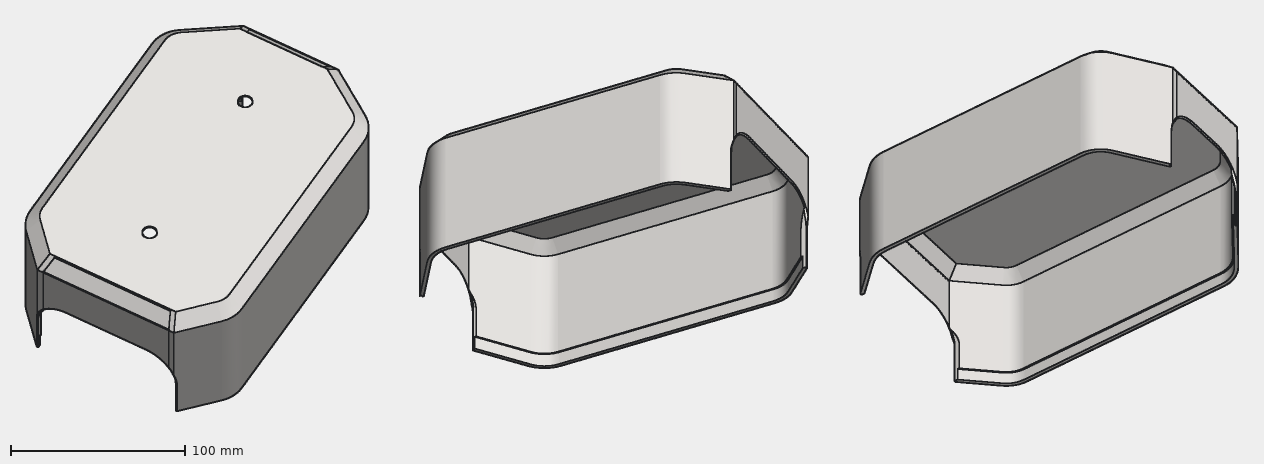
import cadquery as cq
width = 140.5
length = 211.5
height = 83.0

front_half_width = 45.3
back_half_width = 31.5
side_corner_y = 78.9
side_corner_radius = 20.0
top_bevel = 8.2

side_wall = 3.2
end_wall = 0.6
roof = 1.0

seat_depth = 0.8
seat_height = 8.0

arch_height = 45.7
arch_radius = 19.5
front_arch_half_width = 45.5
back_arch_half_width = 30.9
arch_bevel = 1.3
arch_bevel_depth = 1.5
arch_bevel_drop = 2.7
arch_reach = 25.4

hole_diameter = 8.5
hole_spacing = 109.1
hole_middle_y = -0.8


def crossing(first, second):
    """Meeting point of two lines, each given as a point and a direction."""
    (p, u), (q, v) = first, second
    along = (q - p).cross(v).z / u.cross(v).z
    return (p + u * along).toTuple()[:2]


def outline_corners(side_inset, end_inset):
    """Eight corners, counter-clockwise, with every edge moved inwards."""
    right = [
        (front_half_width, -length / 2),
        (width / 2, -side_corner_y),
        (width / 2, side_corner_y),
        (back_half_width, length / 2),
    ]
    left = [(-x, y) for x, y in reversed(right)]
    corners = [cq.Vector(*corner) for corner in right + left]
    edges = []
    for start, end in zip(corners, corners[1:] + corners[:1]):
        direction = (end - start).normalized()
        inward = cq.Vector(-direction.y, direction.x)
        inset = end_inset if start.y == end.y else side_inset
        edges.append((start + inward * inset, direction))
    return [crossing(edges[i - 1], edges[i]) for i in range(len(edges))]


def prism(side_inset, end_inset, prism_height):
    """Upright block with the inset outline, rounded where it meets the long sides."""
    block = cq.Workplane("XY").polyline(outline_corners(side_inset, end_inset)).close().extrude(prism_height)
    for side in ("<X", ">X"):
        block = block.faces(side).edges("|Z").fillet(side_corner_radius - side_inset)
    return block


def arch_profile(half_width, top, radius, y):
    """Closed wire of a round-shouldered arch in the vertical plane at y."""
    return (
        cq.Workplane("XZ", origin=(0, y, 0))
        .moveTo(-half_width, -top)
        .lineTo(-half_width, top - radius)
        .radiusArc((-half_width + radius, top), radius)
        .lineTo(half_width - radius, top)
        .radiusArc((half_width, top - radius), radius)
        .lineTo(half_width, -top)
        .close()
        .val()
    )


def arch_opening(half_width, end):
    """Arch through one end wall; end is -1 for the front and 1 for the back."""
    end_y = end * length / 2
    inner = arch_profile(half_width, arch_height, arch_radius, end_y)
    opening = cq.Solid.extrudeLinear(inner, [], cq.Vector(0, -end * arch_reach, 0))
    rim = arch_profile(half_width + arch_bevel, arch_height + arch_bevel, arch_radius + arch_bevel, end_y)
    bevel = cq.Solid.extrudeLinear(rim, [], cq.Vector(0, -end * arch_bevel_depth, -arch_bevel_drop))
    return cq.Workplane(opening).union(cq.Workplane(bevel))


body = prism(0, 0, height).faces(">Z").chamfer(top_bevel)
cavity = prism(side_wall, end_wall, height - roof).faces(">Z").chamfer(top_bevel - roof)
body = body.cut(cavity)
body = body.cut(prism(side_wall - seat_depth, end_wall, seat_height))

body = body.cut(arch_opening(front_arch_half_width, -1))
body = body.cut(arch_opening(back_arch_half_width, 1))

hole_places = [(0, hole_middle_y + side * hole_spacing / 2) for side in (-1, 1)]
holes = cq.Workplane("XY").pushPoints(hole_places).circle(hole_diameter / 2).extrude(height)

result = body.cut(holes)